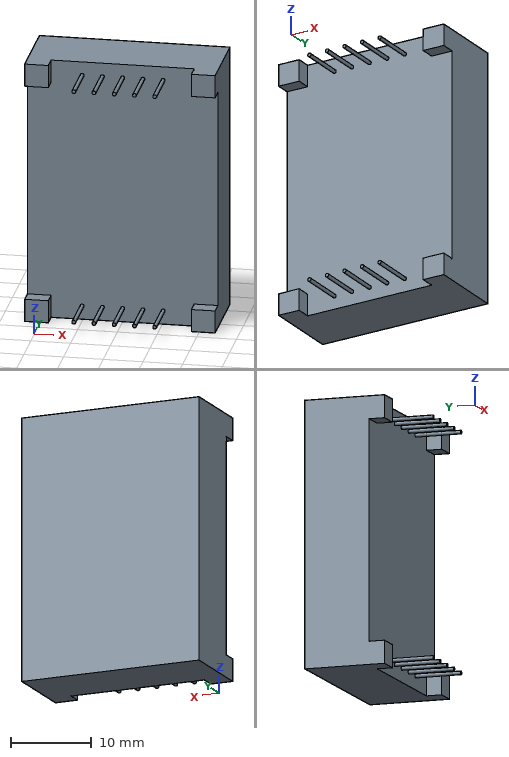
import cadquery as cq

case_width = 24.0
case_height = 34.0
case_depth = 8.5

foot_width = 3.0
foot_height = 2.92
foot_length = 2.0

pin_count = 5
pin_pitch = 2.55
pin_row_spacing = 30.45
pin_diameter = 0.48
pin_length = 6.0

pin_face_y = (pin_length - case_depth) / 2


def make_case():
    """Plain rectangular block behind the pin face."""
    return (
        cq.Workplane("XY")
        .box(case_width, case_depth, case_height)
        .translate((0, pin_face_y + case_depth / 2, 0))
    )


def pin_face_plane():
    """Sketch plane on the pin face, with its normal pointing to -Y."""
    return cq.Workplane("XZ", origin=(0, pin_face_y, 0))


def make_feet():
    """One foot flush with each corner of the case."""
    return (
        pin_face_plane()
        .rarray(case_width - foot_width, case_height - foot_height, 2, 2)
        .rect(foot_width, foot_height)
        .extrude(foot_length)
    )


def make_pins():
    """Straight pins near the top and bottom edges."""
    return (
        pin_face_plane()
        .rarray(pin_pitch, pin_row_spacing, pin_count, 2)
        .circle(pin_diameter / 2)
        .extrude(pin_length)
    )


result = make_case().union(make_feet()).union(make_pins())